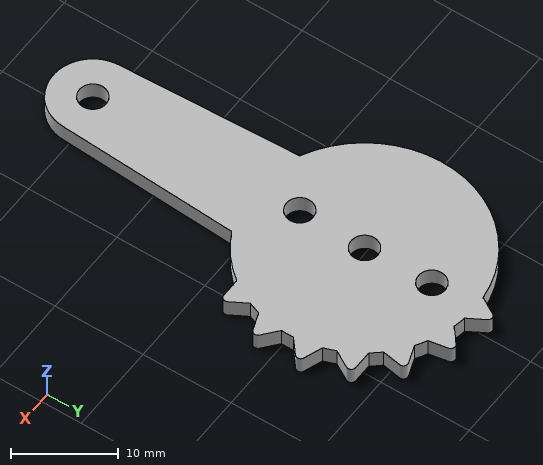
import cadquery as cq
import math

thickness = 2.0
disc_radius = 12.5

tooth_apex_radius = 15.0
flank_angle = 30.0
tip_radius = 0.5
tooth_pitch = 20.0
first_tooth_angle = -30.0
tooth_count = 7
tooth_root_radius = 10.0

arm_end_x = -0.2
arm_end_y = -31.0
arm_end_radius = 4.5
arm_root_half_width = 5.5
arm_root_y = -math.sqrt(disc_radius**2 - arm_root_half_width**2)

hole_diameter = 3.0
side_hole_offset = 7.5


def make_tooth(angle):
    """Rounded triangular tooth pointing outward at the given angle."""
    half_width = (tooth_apex_radius - tooth_root_radius) * math.tan(math.radians(flank_angle))
    tooth = (
        cq.Workplane("XY")
        .moveTo(tooth_root_radius, -half_width)
        .lineTo(tooth_apex_radius, 0)
        .lineTo(tooth_root_radius, half_width)
        .close()
        .extrude(thickness)
        .edges("|Z and >X")
        .fillet(tip_radius)
    )
    return tooth.rotate((0, 0, 0), (0, 0, 1), angle)


def arm_tangent_point(side):
    """Point where the arm flank from the root corner touches the round end; side is -1 or 1."""
    root_dx = side * arm_root_half_width - arm_end_x
    root_dy = arm_root_y - arm_end_y
    root_direction = math.atan2(root_dy, root_dx)
    root_distance = math.hypot(root_dx, root_dy)
    touch_angle = root_direction - side * math.acos(arm_end_radius / root_distance)
    return (
        arm_end_x + arm_end_radius * math.cos(touch_angle),
        arm_end_y + arm_end_radius * math.sin(touch_angle),
    )


def make_arm():
    """Straight-sided arm running tangentially from the disc into a round end."""
    return (
        cq.Workplane("XY")
        .moveTo(-arm_root_half_width, 0)
        .lineTo(-arm_root_half_width, arm_root_y)
        .lineTo(*arm_tangent_point(-1))
        .threePointArc((arm_end_x, arm_end_y - arm_end_radius), arm_tangent_point(1))
        .lineTo(arm_root_half_width, arm_root_y)
        .lineTo(arm_root_half_width, 0)
        .close()
        .extrude(thickness)
    )


body = cq.Workplane("XY").circle(disc_radius).extrude(thickness).union(make_arm())
for index in range(tooth_count):
    body = body.union(make_tooth(first_tooth_angle + index * tooth_pitch))

hole_centres = [
    (0, 0),
    (arm_end_x, side_hole_offset),
    (arm_end_x, -side_hole_offset),
    (arm_end_x, arm_end_y),
]
holes = cq.Workplane("XY").pushPoints(hole_centres).circle(hole_diameter / 2).extrude(thickness)

result = body.cut(holes)